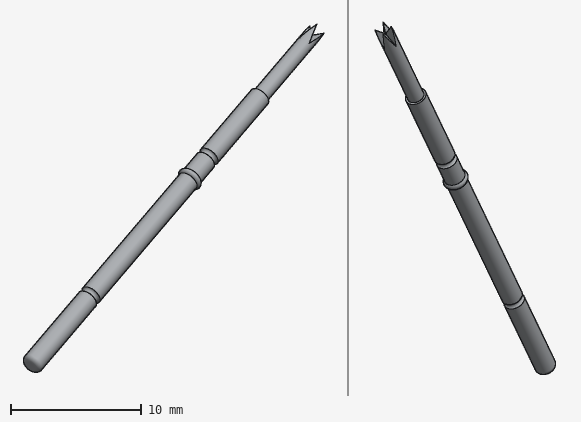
import cadquery as cq
import math

total_length = 40.0
plunger_length = 8.0
barrel_length = total_length - plunger_length
barrel_radius = 0.85
plunger_diameter = 1.3
plunger_radius = plunger_diameter / 2
end_round_radius = 0.4

ring_radius = 1.0
ring_width = 0.5
ring_y = 22.25

groove_width = 0.5
groove_depth = 0.15
groove_positions = (8.2, 24.7)

crown_points = 4
crown_center_depth = plunger_radius
crown_rim_depth = 1.8


def barrel_and_plunger():
    """Revolve the half section, listed from the closed end to the crown."""
    arc_middle = end_round_radius * math.sqrt(0.5)
    round_center_radius = barrel_radius - end_round_radius
    profile = (
        cq.Workplane("XY")
        .lineTo(round_center_radius, 0)
        .threePointArc(
            (round_center_radius + arc_middle, end_round_radius - arc_middle),
            (barrel_radius, end_round_radius),
        )
    )
    for y in groove_positions:
        profile = add_bulge(profile, y, groove_width, barrel_radius - groove_depth)
        if y < ring_y:
            profile = add_bulge(profile, ring_y, ring_width, ring_radius)
    return (
        profile.lineTo(barrel_radius, barrel_length)
        .lineTo(plunger_radius, barrel_length)
        .lineTo(plunger_radius, total_length)
        .lineTo(0, total_length)
        .close()
        .revolve(360, (0, 0, 0), (0, 1, 0))
    )


def add_bulge(profile, y, width, peak_radius):
    """Run along the barrel wall to y and add an arc reaching peak_radius."""
    return profile.lineTo(barrel_radius, y - width / 2).threePointArc(
        (peak_radius, y), (barrel_radius, y + width / 2)
    )


def crown_notch():
    """V notch whose valley falls from the axis toward the rim in the +X direction."""
    valley_slope = (crown_rim_depth - crown_center_depth) / plunger_radius
    half_spacing = math.pi / crown_points
    wall_slope = (
        crown_center_depth / plunger_radius + valley_slope * math.cos(half_spacing)
    ) / math.sin(half_spacing)
    width_per_height = math.hypot(1, valley_slope) / wall_slope

    notch_height = 6 * plunger_radius
    half_width = notch_height * width_per_height
    section = cq.Plane(
        origin=(0, total_length - crown_center_depth, 0),
        xDir=(0, 0, -1),
        normal=(1, -valley_slope, 0),
    )
    return (
        cq.Workplane(section)
        .polyline([(0, 0), (half_width, notch_height), (-half_width, notch_height)])
        .close()
        .extrude(notch_height, both=True)
    )


result = barrel_and_plunger()
notch = crown_notch()
point_spacing = 360 / crown_points
for index in range(crown_points):
    angle = (index + 0.5) * point_spacing
    result = result.cut(notch.rotate((0, 0, 0), (0, 1, 0), angle))